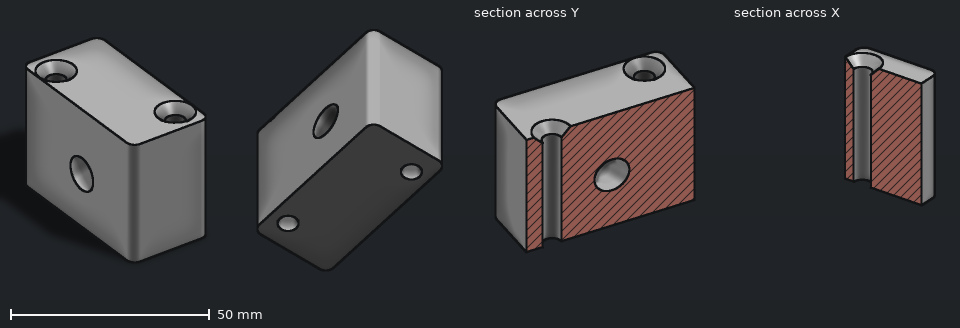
import cadquery as cq
import math

length = 47.9
width = 23.9
height = 34.9
corner_radius = 2.55

screw_x = 16.6
screw_y = 6.55
screw_diameter = 5.25
sink_diameter = 10.45
sink_angle = 90

bore_diameter = 9.4
bore_entry_x = 2.05
bore_z = 15.8
bore_lean = 17.0


def make_block():
    block = cq.Workplane("XY").box(length, width, height, centered=(True, True, False))
    return block.edges("|Z").fillet(corner_radius)


def cut_screw_holes(body):
    return (
        body.faces(">Z")
        .workplane(origin=(0, 0, height))
        .pushPoints([(-screw_x, -screw_y), (screw_x, screw_y)])
        .cskHole(screw_diameter, sink_diameter, sink_angle)
    )


def cut_cross_bore(body):
    lean = math.radians(bore_lean)
    axis = cq.Vector(-math.sin(lean), math.cos(lean), 0)
    entry = cq.Vector(bore_entry_x, -width / 2, bore_z)
    start = entry - axis * width
    bore = cq.Solid.makeCylinder(bore_diameter / 2, 3 * width, start, axis)
    return body.cut(bore)


result = cut_cross_bore(cut_screw_holes(make_block()))